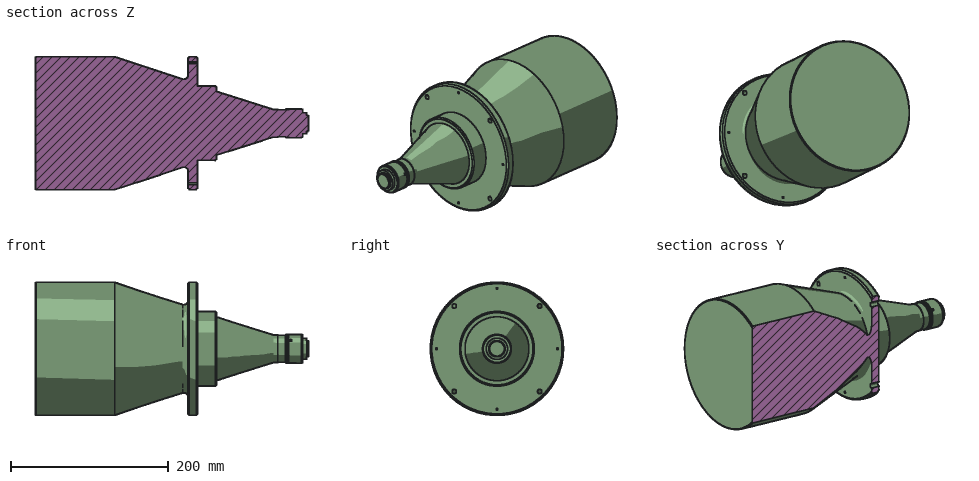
import cadquery as cq
import math

TOTAL_LENGTH = 346.5
BARREL_END = 100.5
FRONT_CONE_END = 186.8
NECK_END = 189.0
FLANGE_START = 193.5
FLANGE_END = 205.8
COLLAR_END = 229.7
REAR_CONE_END = 301.8
STEM_STEP = 307.0
HEAD_START = 316.7
HEAD_END = 339.2
BOSS_END = 343.7

BODY_RADIUS = 84.5
NECK_RADIUS = 56.0
COLLAR_RADIUS = 47.5
REAR_CONE_RADIUS = 40.5
REAR_CONE_TIP_RADIUS = 17.5
STEM_RADIUS = 17.3
HEAD_RADIUS = 18.5
BOSS_RADIUS = 13.5
TIP_RADIUS = 10.5

BARREL_CHAMFER = 1.0
FLANGE_CHAMFER = 2.0
COLLAR_CHAMFER = 1.7
HEAD_CHAMFER_LENGTH = 2.0
HEAD_CHAMFER_DEPTH = 1.0
TIP_CHAMFER = 1.0
FLARE_RADIUS = FLANGE_START - NECK_END

GROOVE_START = 320.0
GROOVE_WIDTH = 1.0
GROOVE_DEPTH = 0.7

BOLT_CIRCLE_RADIUS = 76.5
HOLES_PER_SET = 4
BOLT_HOLE_DIAMETER = 5.5
PIN_HOLE_DIAMETER = 2.0

SCREW_HOLE_X = 323.5
SCREW_HOLE_DIAMETER = 2.5
SCREW_HOLE_DEPTH = 5.2
SCREW_HOLE_COUNT = 3
SCREW_FIRST_ANGLE = 54.0


def turned_body():
    """Revolve the stepped half-profile about the X axis."""
    flare_mid = FLARE_RADIUS * math.sin(math.radians(45))
    flare_rise = FLARE_RADIUS - flare_mid
    profile = (
        cq.Workplane("XY")
        .moveTo(0, 0)
        .lineTo(0, BODY_RADIUS - BARREL_CHAMFER)
        .lineTo(BARREL_CHAMFER, BODY_RADIUS)
        .lineTo(BARREL_END, BODY_RADIUS)
        .lineTo(FRONT_CONE_END, NECK_RADIUS)
        .lineTo(NECK_END, NECK_RADIUS)
        .threePointArc(
            (NECK_END + flare_mid, NECK_RADIUS + flare_rise),
            (FLANGE_START, NECK_RADIUS + FLARE_RADIUS),
        )
        .lineTo(FLANGE_START, BODY_RADIUS - FLANGE_CHAMFER)
        .lineTo(FLANGE_START + FLANGE_CHAMFER, BODY_RADIUS)
        .lineTo(FLANGE_END - FLANGE_CHAMFER, BODY_RADIUS)
        .lineTo(FLANGE_END, BODY_RADIUS - FLANGE_CHAMFER)
        .lineTo(FLANGE_END, COLLAR_RADIUS)
        .lineTo(COLLAR_END - COLLAR_CHAMFER, COLLAR_RADIUS)
        .lineTo(COLLAR_END, COLLAR_RADIUS - COLLAR_CHAMFER)
        .lineTo(COLLAR_END, REAR_CONE_RADIUS)
        .lineTo(REAR_CONE_END, REAR_CONE_TIP_RADIUS)
        .lineTo(STEM_STEP, REAR_CONE_TIP_RADIUS)
        .lineTo(STEM_STEP, STEM_RADIUS)
        .lineTo(HEAD_START, STEM_RADIUS)
        .lineTo(HEAD_START + HEAD_CHAMFER_DEPTH, HEAD_RADIUS)
        .lineTo(HEAD_END - HEAD_CHAMFER_LENGTH, HEAD_RADIUS)
        .lineTo(HEAD_END, HEAD_RADIUS - HEAD_CHAMFER_DEPTH)
        .lineTo(HEAD_END, BOSS_RADIUS)
        .lineTo(BOSS_END, BOSS_RADIUS)
        .lineTo(BOSS_END, TIP_RADIUS)
        .lineTo(TOTAL_LENGTH - TIP_CHAMFER, TIP_RADIUS)
        .lineTo(TOTAL_LENGTH, TIP_RADIUS - TIP_CHAMFER)
        .lineTo(TOTAL_LENGTH, 0)
        .close()
    )
    return profile.revolve(360, (0, 0, 0), (1, 0, 0))


def head_groove():
    """Ring removed from the surface of the head."""
    return (
        cq.Workplane("YZ", origin=(GROOVE_START, 0, 0))
        .circle(HEAD_RADIUS + GROOVE_DEPTH)
        .circle(HEAD_RADIUS - GROOVE_DEPTH)
        .extrude(GROOVE_WIDTH)
    )


def flange_holes(diameter, start_angle):
    """Evenly spaced through holes on the flange bolt circle."""
    return (
        cq.Workplane("YZ", origin=(FLANGE_START, 0, 0))
        .polarArray(BOLT_CIRCLE_RADIUS, start_angle, 360, HOLES_PER_SET)
        .circle(diameter / 2)
        .extrude(FLANGE_END - FLANGE_START)
    )


def screw_hole(angle):
    """Radial blind hole in the head, turned from +Z toward -Y by the angle."""
    return (
        cq.Workplane("XY", origin=(SCREW_HOLE_X, 0, HEAD_RADIUS - SCREW_HOLE_DEPTH))
        .circle(SCREW_HOLE_DIAMETER / 2)
        .extrude(2 * SCREW_HOLE_DEPTH)
        .rotate((0, 0, 0), (1, 0, 0), angle)
    )


result = turned_body().cut(head_groove())
result = result.cut(flange_holes(BOLT_HOLE_DIAMETER, 45))
result = result.cut(flange_holes(PIN_HOLE_DIAMETER, 0))
for index in range(SCREW_HOLE_COUNT):
    result = result.cut(screw_hole(SCREW_FIRST_ANGLE + index * 360 / SCREW_HOLE_COUNT))